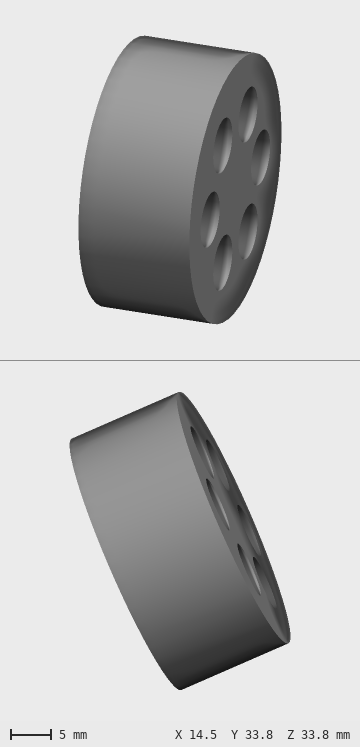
import cadquery as cq

disc_diameter = 33.8
disc_thickness = 14.5
hole_diameter = 7.0
hole_circle_radius = 9.25
hole_count = 6

disc = cq.Workplane("YZ").circle(disc_diameter / 2).extrude(disc_thickness)

holes = (
    cq.Workplane("YZ")
    .polarArray(hole_circle_radius, 0, 360, hole_count)
    .circle(hole_diameter / 2)
    .extrude(disc_thickness)
)

result = disc.cut(holes)